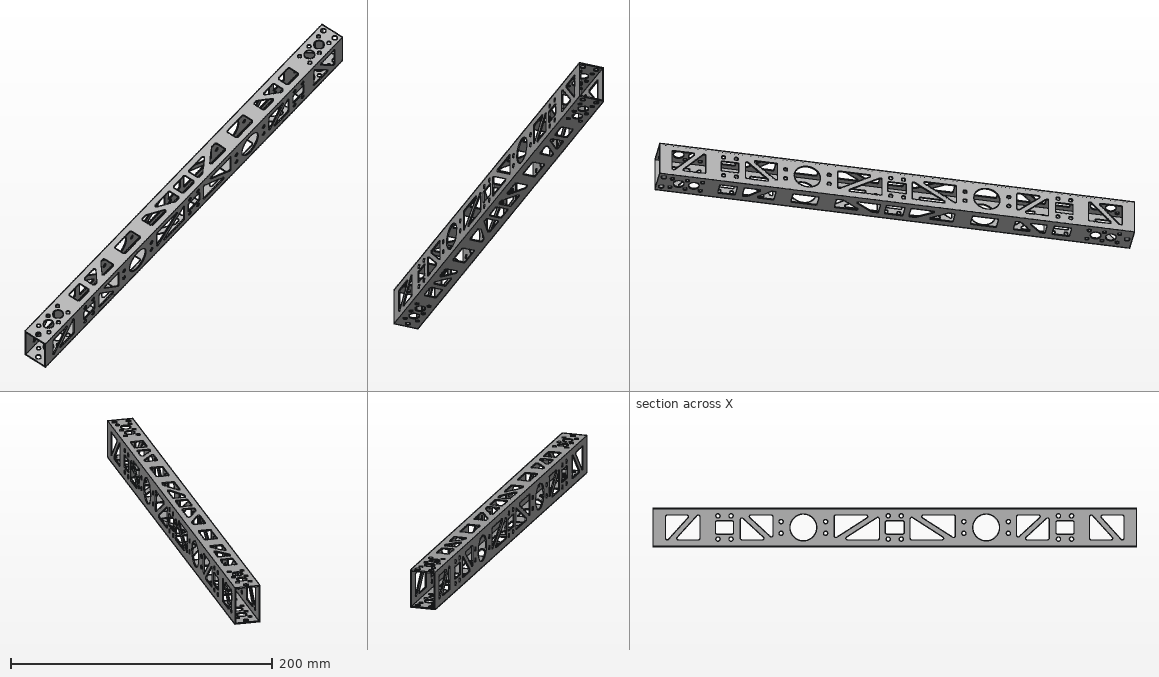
import cadquery as cq
import math

length = 370.0
width = 20.0
height = 30.0
wall = 1.0

end_bay = (149.0, 175.5)
outer_truss = (93.2, 118.0)
inner_truss = (12.0, 46.2)
mount_center = 130.2
mount_length = 13.7
middle_length = 14.5
bore_center = 70.0

side_window = 19.0
top_window = 10.0
corner_radius = 1.0
side_rib = 4.0
top_rib = 4.5

end_slope = 1.1
outer_slope = -0.92
inner_slope = 0.64

screw_diameter = 3.1
locating_diameter = 4.0
boss_diameter = 8.0
bore_diameter = 20.5
screw_half_pitch = 5.0
mount_screw_offset = 9.0
bore_screw_reach = 17.0
bore_screw_offset = 4.5
boss_pair_center = 162.5
boss_pitch = 12.0
locating_inset = 4.0
locating_half_pitch = 5.5

side_plane = cq.Plane(origin=(0, 0, 0), xDir=(0, 1, 0), normal=(1, 0, 0))
top_plane = cq.Plane(origin=(0, 0, 0), xDir=(0, 1, 0), normal=(0, 0, -1))
half_cut = height


def window(center, window_length, window_height):
    """Rectangular cutter, centred on the local axis and running through both walls."""
    outline = cq.Workplane("XY").center(center, 0).rect(window_length, window_height)
    return outline.extrude(half_cut, both=True)


def rounded_window(center, window_length, window_height):
    return window(center, window_length, window_height).edges("|Z").fillet(corner_radius)


def truss_window(bay, window_height, slope, rib):
    """Window split in two by a diagonal rib through its centre."""
    inner_end, outer_end = bay
    center = (inner_end + outer_end) / 2
    angle = -math.degrees(math.atan(slope))
    rib_bar = window(0, 2 * length, rib).rotate((0, 0, 0), (0, 0, 1), angle).translate((center, 0, 0))
    halves = window(center, outer_end - inner_end, window_height).cut(rib_bar)
    return halves.edges("|Z").fillet(corner_radius)


def holes(points, diameter):
    return cq.Workplane("XY").pushPoints(points).circle(diameter / 2).extrude(half_cut, both=True)


def grid(positions, offset):
    """Points at each lengthwise position, on both sides of the local axis."""
    return [(position, side * offset) for position in positions for side in (-1, 1)]


def pair(center, half_pitch):
    return [center - half_pitch, center + half_pitch]


def cut_through(body, cutter, plane):
    """Place a flat-drawn cutter on the given plane and cut both opposite walls."""
    return body.cut(cq.Workplane(cutter.combine().val().moved(plane.location)))


def cut_both_ends(body, cutters, plane):
    """Cut each cutter and its mirror image about mid-length."""
    for cutter in cutters:
        body = cut_through(body, cutter, plane)
        body = cut_through(body, cutter.mirror("YZ"), plane)
    return body


tube = (
    cq.Workplane("XZ")
    .rect(width, height)
    .rect(width - 2 * wall, height - 2 * wall)
    .extrude(length / 2, both=True)
)

side_cutters = [
    truss_window(end_bay, side_window, end_slope, side_rib),
    truss_window(outer_truss, side_window, outer_slope, side_rib),
    truss_window(inner_truss, side_window, inner_slope, side_rib),
    rounded_window(mount_center, mount_length, top_window),
    holes(grid(pair(mount_center, screw_half_pitch), mount_screw_offset), screw_diameter),
    holes([(bore_center, 0)], bore_diameter),
    holes(grid(pair(bore_center, bore_screw_reach), bore_screw_offset), screw_diameter),
]
tube = cut_both_ends(tube, side_cutters, side_plane)
middle_window = rounded_window(0, middle_length, top_window)
middle_screws = holes(grid(pair(0, screw_half_pitch), mount_screw_offset), screw_diameter)
tube = cut_through(tube, middle_window, side_plane)
tube = cut_through(tube, middle_screws, side_plane)

boss_screw_positions = [boss_pair_center + step * boss_pitch for step in (-1, 0, 1)]
top_cutters = [
    truss_window(outer_truss, top_window, outer_slope, top_rib),
    truss_window(inner_truss, top_window, inner_slope, top_rib),
    rounded_window(mount_center, mount_length, top_window),
    rounded_window(bore_center, bore_diameter, top_window),
    holes([(position, 0) for position in pair(boss_pair_center, boss_pitch / 2)], boss_diameter),
    holes(grid(boss_screw_positions, screw_half_pitch), screw_diameter),
]
tube = cut_both_ends(tube, top_cutters, top_plane)
tube = cut_through(tube, middle_window, top_plane)

locating_reach = length / 2 - locating_inset
locating_points = grid([locating_reach], locating_half_pitch) + [(-locating_reach, 0)]
result = cut_through(tube, holes(locating_points, locating_diameter), top_plane)